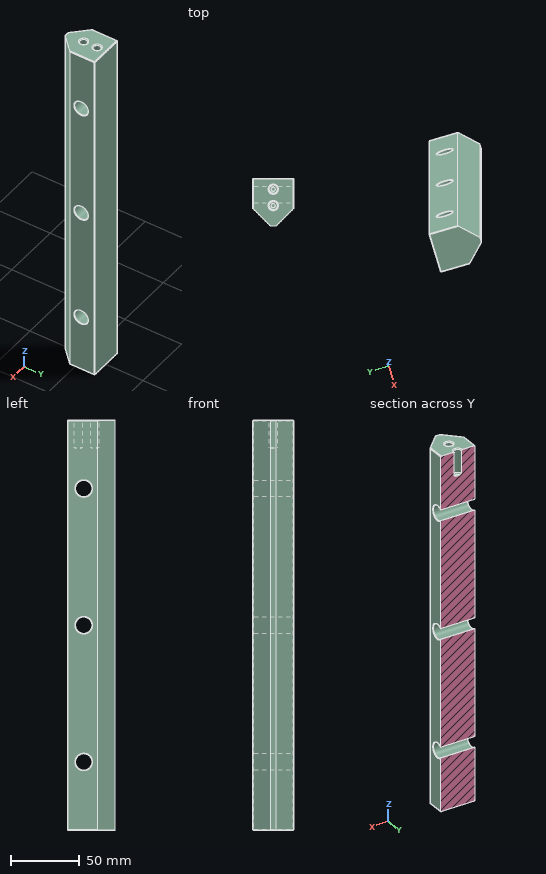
import cadquery as cq
import math

width = 30.0
depth = 35.0
length = 300.0

nose_width = 4.0
shoulder_y = (width - nose_width) / 2

edge_chamfer = 0.5

cross_hole_diameter = 12.0
cross_hole_chamfer = 0.4
cross_hole_pitch = 100.0
cross_hole_count = 3
cross_hole_back_offset = 12.0

end_hole_diameter = 6.0
end_hole_mouth_diameter = 7.5
end_hole_depth = 20.0
end_hole_tip_diameter = 3.0
end_hole_tip_angle = 118.0
end_hole_back_offset = 8.0
end_hole_pitch = 12.0
end_hole_count = 2


def make_bar():
    """Five-sided section with a blunt nose, with the back and side faces chamfered but not the flanks."""
    half_width = width / 2
    half_nose = nose_width / 2
    outline = [
        (-half_nose, 0),
        (half_nose, 0),
        (half_width, shoulder_y),
        (half_width, depth),
        (-half_width, depth),
        (-half_width, shoulder_y),
    ]
    bar = cq.Workplane("XY").polyline(outline).close().extrude(length)
    back_edges = bar.edges(">Y")
    side_end_edges = bar.faces("<X or >X").edges("|Y")
    return back_edges.add(side_end_edges).chamfer(edge_chamfer)


def make_cross_hole(z):
    """Cutter across the full width at height z, flared at both ends by the chamfer."""
    half_width = width / 2
    radius = cross_hole_diameter / 2
    mouth_radius = radius + cross_hole_chamfer
    profile = [
        (-half_width, 0),
        (-half_width, mouth_radius),
        (-half_width + cross_hole_chamfer, radius),
        (half_width - cross_hole_chamfer, radius),
        (half_width, mouth_radius),
        (half_width, 0),
    ]
    return (
        cq.Workplane("XY", origin=(0, depth - cross_hole_back_offset, z))
        .polyline(profile)
        .close()
        .revolve(360, (0, 0), (1, 0))
    )


def make_end_hole(y):
    """Cutter sunk from the top end face, revolved about its own vertical axis."""
    radius = end_hole_diameter / 2
    mouth_radius = end_hole_mouth_diameter / 2
    tip_radius = end_hole_tip_diameter / 2
    mouth_depth = mouth_radius - radius
    cone_height = (radius - tip_radius) / math.tan(math.radians(end_hole_tip_angle / 2))
    profile = [
        (0, 0),
        (mouth_radius, 0),
        (radius, -mouth_depth),
        (radius, -end_hole_depth),
        (tip_radius, -end_hole_depth - cone_height),
        (0, -end_hole_depth - cone_height),
    ]
    return (
        cq.Workplane("XZ", origin=(0, y, length))
        .polyline(profile)
        .close()
        .revolve(360, (0, 0), (0, 1))
    )


result = make_bar()

first_cross_hole_z = (length - (cross_hole_count - 1) * cross_hole_pitch) / 2
for index in range(cross_hole_count):
    result = result.cut(make_cross_hole(first_cross_hole_z + index * cross_hole_pitch))

for index in range(end_hole_count):
    result = result.cut(make_end_hole(depth - end_hole_back_offset - index * end_hole_pitch))